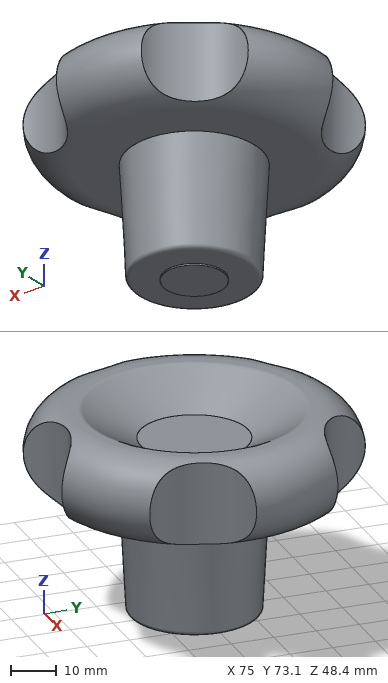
import cadquery as cq
import math

head_radius = 37.5
head_height = 20.0
rim_radius = head_height / 2
flat_radius = head_radius - rim_radius

dish_radius = 25.0
dish_floor_radius = 12.6
dish_lip_fillet = 2.0
dish_depth = 7.08

stem_length = 28.0
stem_bottom_radius = 15.0
stem_draft = 3.0
stem_top_radius = stem_bottom_radius + stem_length * math.tan(math.radians(stem_draft))
stem_fillet = 1.0

pad_diameter = 15.0
pad_height = 0.4

scallop_count = 5
scallop_radius = 15.0
scallop_inner_reach = 30.0
first_scallop_angle = -90.0

stem_bottom = pad_height
head_bottom = stem_bottom + stem_length
head_middle = head_bottom + rim_radius
head_top = head_bottom + head_height
dish_floor = head_top - dish_depth


def make_head():
    """Revolve the rounded rim and the dish as one profile, then round the dish lip."""
    head = (
        cq.Workplane("XZ")
        .moveTo(0, head_bottom)
        .lineTo(flat_radius, head_bottom)
        .threePointArc((head_radius, head_middle), (flat_radius, head_top))
        .lineTo(dish_radius, head_top)
        .lineTo(dish_floor_radius, dish_floor)
        .lineTo(0, dish_floor)
        .close()
        .revolve(360, (0, 0, 0), (0, 1, 0))
    )
    dish_lip = cq.selectors.RadiusNthSelector(0)
    return head.faces(">Z").edges("%CIRCLE").edges(dish_lip).fillet(dish_lip_fillet)


def make_stem():
    """Tapered round stem with a rounded lower edge and a raised contact face."""
    stem = (
        cq.Workplane("XZ")
        .moveTo(0, stem_bottom)
        .lineTo(stem_bottom_radius, stem_bottom)
        .lineTo(stem_top_radius, head_bottom)
        .lineTo(0, head_bottom)
        .close()
        .revolve(360, (0, 0, 0), (0, 1, 0))
        .faces("<Z")
        .edges()
        .fillet(stem_fillet)
    )
    pad = cq.Workplane("XY").circle(pad_diameter / 2).extrude(pad_height)
    return stem.union(pad)


def make_scallops():
    """Upright cylinders spaced evenly around the rim, to be cut from the head."""
    centre_distance = scallop_inner_reach + scallop_radius
    return (
        cq.Workplane("XY")
        .workplane(offset=head_bottom)
        .polarArray(centre_distance, first_scallop_angle, 360, scallop_count)
        .circle(scallop_radius)
        .extrude(head_height)
    )


result = make_head().cut(make_scallops()).union(make_stem())